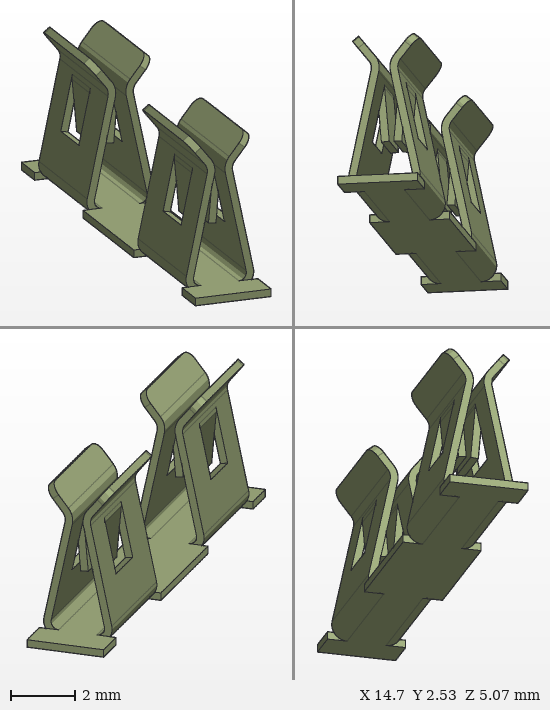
import cadquery as cq
import math


LENGTH = 14.73
WIDTH = 2.53
HEIGHT = 5.07
THICKNESS = 0.25
END_PAD = 1.13

CLIP_WIDTH = 4.08
CLIP_DEPTH = 2.27
FOOT_RADIUS = THICKNESS
LEAN = 12.0
LEG_LENGTH = 3.35
NECK_RADIUS = 0.38
FLARE = 39.0
LIP_CORNER_RADIUS = 0.4

WINDOW_WIDTH = 1.52
WINDOW_LENGTH = 1.85
WINDOW_MARGIN = 0.16
WINDOW_SHIFT = 0.13
TONGUE_RADIUS = 0.3
TONGUE_TILT = 5.0
TONGUE_STRAIGHT = 1.72

HALF_SHEET = THICKNESS / 2
CLIP_X = LENGTH / 2 - END_PAD - CLIP_WIDTH / 2
MIDDLE_PAD = LENGTH - 2 * (END_PAD + CLIP_WIDTH)
FOOT_OUTER_RADIUS = FOOT_RADIUS + THICKNESS
FOOT_Y = CLIP_DEPTH / 2 - FOOT_OUTER_RADIUS


def ahead(point, heading, distance):
    """Point reached by moving along a heading given in degrees."""
    angle = math.radians(heading)
    return (point[0] + distance * math.cos(angle), point[1] + distance * math.sin(angle))


def bent_sheet(start, heading, moves, width):
    """Sheet traced along its mid-line in the YZ plane and centred on X = 0.

    Each move is (straight length, turn in degrees, inner bend radius): the sheet
    first runs straight and then bends, left for a positive turn.
    """
    def sides(point, direction):
        """Both sheet faces at a mid-line point, the one along direction first."""
        return ahead(point, direction, HALF_SHEET), ahead(point, direction + 180, HALF_SHEET)

    point = start
    left, right = sides(point, heading + 90)
    right_start = right
    right_path = []
    left_path = []
    for straight, turn, inner_radius in moves:
        if straight:
            point = ahead(point, heading, straight)
            left_path.append((left, None))
            left, right = sides(point, heading + 90)
            right_path.append((right, None))
        if turn:
            mid_radius = inner_radius + HALF_SHEET
            outward = heading - math.copysign(90, turn)
            center = ahead(point, outward + 180, mid_radius)
            halfway = ahead(center, outward + turn / 2, mid_radius)
            left_mid, right_mid = sides(halfway, heading + turn / 2 + 90)
            point = ahead(center, outward + turn, mid_radius)
            heading += turn
            left_path.append((left, left_mid))
            left, right = sides(point, heading + 90)
            right_path.append((right, right_mid))

    outline = cq.Workplane("YZ").moveTo(*right_start)
    for end, arc_mid in right_path + [(left, None)] + left_path[::-1]:
        outline = outline.threePointArc(arc_mid, end) if arc_mid else outline.lineTo(*end)
    return outline.close().extrude(width / 2, both=True)


def lip_length():
    """Straight length that brings the highest lip corner to the full height."""
    lean = math.radians(LEAN)
    flare = math.radians(FLARE)
    leg_top = FOOT_OUTER_RADIUS * (1 + math.sin(lean)) + LEG_LENGTH * math.cos(lean)
    neck_center = leg_top + NECK_RADIUS * math.sin(lean)
    lip_start = neck_center + (NECK_RADIUS + THICKNESS) * math.sin(flare)
    return (HEIGHT - lip_start) / math.cos(flare)


def arm():
    """Foot bend, leaning leg, neck bend and flared lip with rounded corners."""
    moves = [
        (0, 90 + LEAN, FOOT_RADIUS),
        (LEG_LENGTH, -(LEAN + FLARE), NECK_RADIUS),
        (lip_length(), 0, 0),
    ]
    flare = math.radians(FLARE)
    lip_normal = cq.Vector(0, -math.cos(flare), math.sin(flare))
    sheet = bent_sheet((FOOT_Y, HALF_SHEET), 0, moves, CLIP_WIDTH)
    lip_corners = cq.selectors.ParallelDirSelector(lip_normal)
    return sheet.edges(lip_corners).fillet(LIP_CORNER_RADIUS)


def windowed_arm(shift):
    """Arm on the +Y side with its window and tongue moved along X by shift."""
    lean = math.radians(LEAN)
    leg_start = ahead((FOOT_Y, FOOT_OUTER_RADIUS), LEAN, FOOT_RADIUS + HALF_SHEET)
    window_top = ahead(leg_start, 90 + LEAN, LEG_LENGTH - WINDOW_MARGIN)

    leg_plane = cq.Plane(
        origin=(shift, *window_top),
        xDir=(1, 0, 0),
        normal=(0, math.cos(lean), math.sin(lean)),
    )
    window = cq.Workplane(leg_plane).box(
        WINDOW_WIDTH, WINDOW_LENGTH, 2 * THICKNESS, centered=(True, False, True)
    )

    tongue_moves = [
        (0, -(LEAN + TONGUE_TILT), TONGUE_RADIUS),
        (TONGUE_STRAIGHT, 0, 0),
    ]
    tongue = bent_sheet(window_top, LEAN - 90, tongue_moves, WINDOW_WIDTH)
    return arm().cut(window).union(tongue.translate((shift, 0, 0)))


def clip(side):
    """Pair of facing arms; the windows sit slightly toward the carrier end."""
    back_arm = windowed_arm(side * WINDOW_SHIFT)
    front_arm = back_arm.mirror("XZ")
    return back_arm.union(front_arm).translate((side * CLIP_X, 0, 0))


def carrier():
    """Narrow flat web with a full-width pad in the middle and at each end."""
    def plate(length, width, x=0):
        blank = cq.Workplane("XY").box(length, width, THICKNESS, centered=(True, True, False))
        return blank.translate((x, 0, 0))

    end_x = (LENGTH - END_PAD) / 2
    return (
        plate(LENGTH, 2 * FOOT_Y)
        .union(plate(MIDDLE_PAD, WIDTH))
        .union(plate(END_PAD, WIDTH, -end_x))
        .union(plate(END_PAD, WIDTH, end_x))
    )


result = carrier()
for side in (-1, 1):
    result = result.union(clip(side))